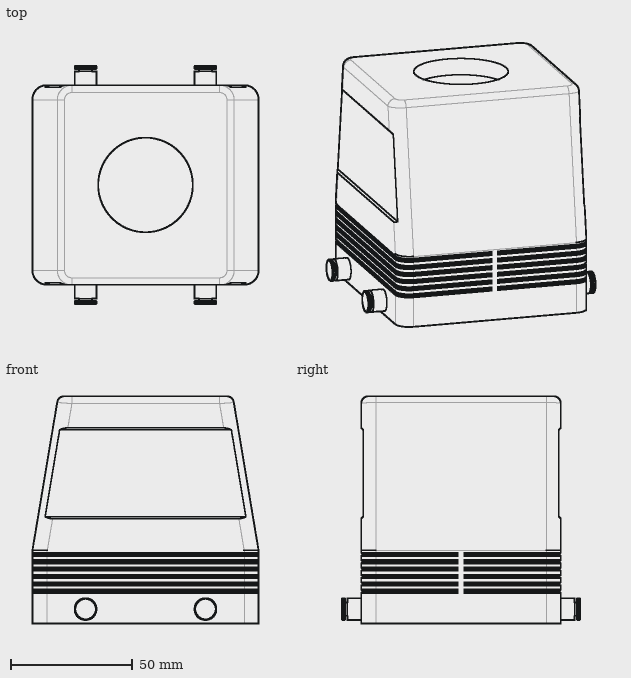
import cadquery as cq
import math

length = 93.5
width = 82.5
height = 94.0
corner_radius = 6.0
top_fillet = 3.0
clearance = 1.0

taper_start = 30.3
taper_slope = math.tan(math.radians(9.5))

groove_count = 6
groove_pitch = 3.05
groove_height = 1.5
groove_depth = 0.45
groove_flank_angle = 45
first_groove_z = 12.65
web_width = 2.6

panel_bottom = 43.4
panel_top = 80.9
panel_depth = 0.85

wall = 6.0
roof = 7.0
core_length = 68.0
pocket_width = 53.0

entry_diameter = 39.0

pin_span = 98.5
pin_spacing = 49.5
pin_z = 6.05
pin_diameter = 9.1
neck_diameter = 5.5
shank_length = 5.7
neck_length = 0.9
head_bevel = 0.35
pin_length = (pin_span - width) / 2


def block(x_size, y_size, z_size):
    """Box centred in X and Y, standing on z = 0."""
    return cq.Workplane("XY").box(x_size, y_size, z_size, centered=(True, True, False))


def tapered_block(bottom_length, y_size, top_z):
    """Block on the taper plane whose ends lean in at the hood's slope."""
    half_bottom = bottom_length / 2
    half_top = half_bottom - (top_z - taper_start) * taper_slope
    return (
        cq.Workplane("XZ")
        .moveTo(-half_bottom, taper_start)
        .lineTo(half_bottom, taper_start)
        .lineTo(half_top, top_z)
        .lineTo(-half_top, top_z)
        .close()
        .extrude(y_size / 2, both=True)
    )


def make_shell():
    """Outside of the body: rounded base with the tapered hood on top."""
    base = block(length, width, taper_start).edges("|Z").fillet(corner_radius)
    hood = tapered_block(length, width, height)
    hood = hood.edges("not (|X or |Y)").fillet(corner_radius)
    hood = hood.faces(">Z").edges().fillet(top_fillet)
    return base.union(hood)


def make_groove_cutter():
    """Ring with sloped flanks and a flat floor, open at the two webs."""
    outline = cq.Sketch().rect(length, width).vertices().fillet(corner_radius)
    lower_flank = cq.Workplane("XY").placeSketch(outline).extrude(groove_depth, taper=groove_flank_angle)
    upper_flank = lower_flank.mirror("XY").translate((0, 0, groove_height))
    floor = block(length - 2 * groove_depth, width - 2 * groove_depth, groove_height)
    floor = floor.edges("|Z").fillet(corner_radius - groove_depth)
    webs = block(length, web_width, groove_height)
    ring = block(length + 2 * clearance, width + 2 * clearance, groove_height)
    return ring.cut(lower_flank).cut(upper_flank).cut(floor).cut(webs)


def cut_grooves(body):
    cutter = make_groove_cutter()
    for index in range(groove_count):
        body = body.cut(cutter.translate((0, 0, first_groove_z + index * groove_pitch)))
    return body


def cut_panels(body):
    """Recess both long faces between 45 degree steps at top and bottom."""
    floor_y = width / 2 - panel_depth
    outside_y = width / 2 + clearance
    flare = panel_depth + clearance
    cutter = (
        cq.Workplane("YZ")
        .moveTo(floor_y, panel_bottom + panel_depth)
        .lineTo(floor_y, panel_top - panel_depth)
        .lineTo(outside_y, panel_top - panel_depth + flare)
        .lineTo(outside_y, panel_bottom + panel_depth - flare)
        .close()
        .extrude(length / 2, both=True)
    )
    return body.cut(cutter).cut(cutter.mirror("XZ"))


def cut_cavity(body):
    """Hollow the body from below, leaving a post in each corner."""
    ceiling = height - roof
    pocket_length = length - 2 * wall
    pocket_top = taper_start + (pocket_length - core_length) / 2 / taper_slope
    core = block(core_length, width - 2 * wall, ceiling)
    pocket_base = block(pocket_length, pocket_width, taper_start)
    pocket = tapered_block(pocket_length, pocket_width, pocket_top)
    return body.cut(core).cut(pocket_base).cut(pocket)


def cut_cable_entry(body):
    entry = cq.Workplane("XY").circle(entry_diameter / 2).extrude(height + clearance)
    return body.cut(entry)


def make_pin():
    """Turned pin along +Y: shank, thin neck and bevelled head."""
    radius = pin_diameter / 2
    neck_radius = neck_diameter / 2
    bevel_radius = radius - head_bevel
    head_start = shank_length + neck_length
    embedded = -wall / 2
    return (
        cq.Workplane("XY")
        .moveTo(0, embedded)
        .lineTo(radius, embedded)
        .lineTo(radius, shank_length)
        .lineTo(neck_radius, shank_length)
        .lineTo(neck_radius, head_start)
        .lineTo(bevel_radius, head_start)
        .lineTo(radius, head_start + head_bevel)
        .lineTo(radius, pin_length - head_bevel)
        .lineTo(bevel_radius, pin_length)
        .lineTo(0, pin_length)
        .close()
        .revolve(360, (0, 0, 0), (0, 1, 0))
    )


def add_pins(body):
    for x in (-pin_spacing / 2, pin_spacing / 2):
        pin = make_pin().translate((x, width / 2, pin_z))
        body = body.union(pin).union(pin.mirror("XZ"))
    return body


body = make_shell()
body = cut_grooves(body)
body = cut_panels(body)
body = cut_cavity(body)
body = cut_cable_entry(body)
result = add_pins(body)